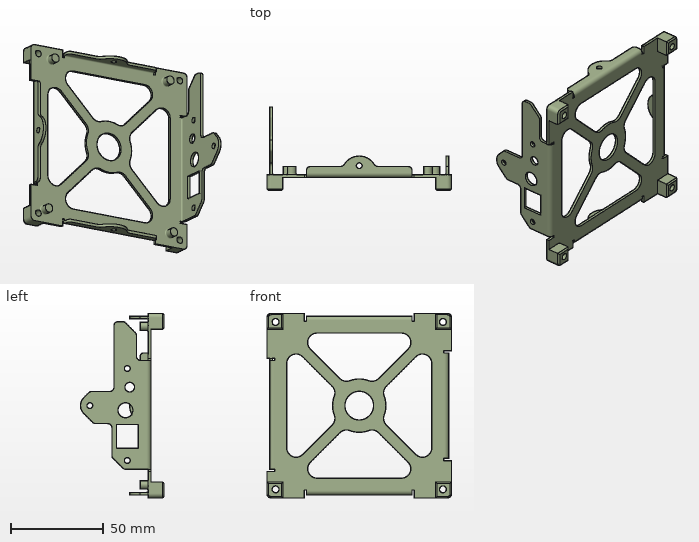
import cadquery as cq
import math

side = 100.0
half = side / 2
sheet = 1.6
corner_radius = 2.3
hub_hole_radius = 7.7
hub_radius = 14.5
spoke_width = 6.0
window_edge = 39.2
window_radius = 5.0

foot_size = 8.7
foot_height = 7.0
foot_chamfer = 0.8
foot_hole_offset = 45.3
foot_hole_dia = 3.6

flange_face = 48.5
bend_radius = 2.3
bend_inner_radius = bend_radius - sheet
relief_gap = 1.1
relief_bottom = 45.8

short_half_length = 28.6
short_height = 6.0
short_corner_radius = 2.0
ear_height = 11.7
ear_radius = 9.5
ear_root_radius = 3.0
screw_hole_dia = 3.0
ear_hole_y = 6.4

panel_bottom = -34.5
panel_shoulder = 24.5
panel_top = 45.5
panel_front_edge = 7.9
panel_upper_back = 20.2
panel_lower_back = 21.3
panel_chamfer = 6.6
panel_corner_radius = 2.2
lug_tip = 38.3
lug_radius = 6.0
lug_top = 7.7
lug_bottom = -9.8
lug_hole_y = 33.2
panel_axis_y = 12.9
upper_screw_z = 20.1
lower_screw_z = -29.7
small_port = (11.6, 10.0, 5.1)
large_port = (13.9, -2.5, 8.0)
socket_center = (panel_axis_y, -16.6)
socket_size = (11.6, 12.7)

boss_dia = 4.7
boss_top = 6.0
boss_foot_fillet = 0.6
boss_row_z = 42.9
boss_centers = [
    (-36.5, boss_row_z),
    (37.2, boss_row_z),
    (-38.8, -boss_row_z),
    (41.3, -boss_row_z),
]


def box(x_range, y_range, z_range):
    """Box between two limits on each axis."""
    sizes = [high - low for low, high in (x_range, y_range, z_range)]
    origin = (x_range[0], y_range[0], z_range[0])
    return cq.Workplane("XY", origin=origin).box(*sizes, centered=False)


def pin(x, z, diameter, y_low, y_high):
    """Cylinder along Y, centred on (x, z)."""
    return cq.Workplane("XZ", origin=(x, y_low, z)).circle(diameter / 2).extrude(y_low - y_high)


def round_corners(wall, corners, radius):
    """Round the X-directed edges of a wall that pass through the given (y, z) corners."""
    for y, z in corners:
        corner = cq.selectors.NearestToPointSelector((flange_face - sheet / 2, y, z))
        wall = wall.edges("|X").edges(corner).fillet(radius)
    return wall


def turned(body, angle):
    """Turn a body about the plate axis."""
    return body.rotate((0, 0, 0), (0, 1, 0), angle)


def wall_plane():
    """YZ plane on the inner face of a flange on the +X side."""
    return cq.Workplane("YZ", origin=(flange_face - sheet, 0, 0))


def make_window():
    """Opening between two diagonal spokes, above the hub."""
    spoke_offset = spoke_width / 2 * math.sqrt(2)
    reach = window_edge - spoke_offset
    outline = [(0, spoke_offset), (reach, window_edge), (-reach, window_edge)]
    window = cq.Workplane("XZ").polyline(outline).close().extrude(-sheet)
    window = window.cut(pin(0, 0, 2 * hub_radius, 0, sheet))
    return window.edges("|Y").fillet(window_radius)


def make_plate():
    plate = box((-half, half), (0, sheet), (-half, half)).edges("|Y").fillet(corner_radius)
    window = make_window()
    for angle in (0, 90, 180, 270):
        plate = plate.cut(turned(window, angle))
    return plate.cut(pin(0, 0, 2 * hub_hole_radius, 0, sheet))


def make_foot():
    """Foot in the +X +Z corner, flush with the plate outline."""
    inner = half - foot_size
    foot = box((inner, half), (-foot_height, sheet), (inner, half))
    foot = foot.edges("|Y and >X and >Z").fillet(corner_radius)
    return foot.faces("<Y").chamfer(foot_chamfer)


def make_relief(z_low, z_high):
    """Notch in the +X plate edge that leaves a gap at both ends of a flange."""
    return box((relief_bottom, half), (0, sheet), (z_low - relief_gap, z_high + relief_gap))


def make_bend(z_low, z_high):
    """Quarter-round sheet bend joining the +X plate edge to a flange wall."""
    start = flange_face - bend_radius
    outer_mid = bend_radius * math.sqrt(0.5)
    inner_mid = bend_inner_radius * math.sqrt(0.5)
    return (
        cq.Workplane("XY", origin=(0, 0, z_low))
        .moveTo(relief_bottom, 0)
        .lineTo(start, 0)
        .threePointArc((start + outer_mid, bend_radius - outer_mid), (flange_face, bend_radius))
        .lineTo(flange_face - sheet, bend_radius)
        .threePointArc((start + inner_mid, bend_radius - inner_mid), (start, sheet))
        .lineTo(relief_bottom, sheet)
        .close()
        .extrude(z_high - z_low)
    )


def make_short_flange():
    """Low flange on the +X side with a central rounded screw ear."""
    ear_center = ear_height - ear_radius
    ear_foot = math.sqrt(ear_radius**2 - (short_height - ear_center) ** 2)
    wall = (
        wall_plane()
        .moveTo(bend_radius, -short_half_length)
        .lineTo(short_height, -short_half_length)
        .lineTo(short_height, -ear_foot)
        .threePointArc((ear_height, 0), (short_height, ear_foot))
        .lineTo(short_height, short_half_length)
        .lineTo(bend_radius, short_half_length)
        .close()
        .extrude(sheet)
    )
    ends = [(short_height, -short_half_length), (short_height, short_half_length)]
    ear_roots = [(short_height, -ear_foot), (short_height, ear_foot)]
    wall = round_corners(wall, ends, short_corner_radius)
    wall = round_corners(wall, ear_roots, ear_root_radius)
    hole = wall_plane().center(ear_hole_y, 0).circle(screw_hole_dia / 2).extrude(sheet)
    return wall.cut(hole).union(make_bend(-short_half_length, short_half_length))


def make_panel():
    """Tall connector panel, modelled on the +X side."""
    lug_center = lug_tip - lug_radius
    tangent = lug_radius * math.sqrt(0.5)
    lug_slope_sum = lug_center + 2 * tangent
    lug_top_corner = lug_slope_sum - lug_top
    lug_bottom_corner = lug_slope_sum + lug_bottom
    bottom_corner = panel_lower_back - panel_chamfer
    top_corner = panel_front_edge + panel_chamfer
    wall = (
        wall_plane()
        .moveTo(bend_radius, panel_bottom)
        .lineTo(bottom_corner, panel_bottom)
        .lineTo(panel_lower_back, panel_bottom + panel_chamfer)
        .lineTo(panel_lower_back, lug_bottom)
        .lineTo(lug_bottom_corner, lug_bottom)
        .lineTo(lug_center + tangent, -tangent)
        .threePointArc((lug_tip, 0), (lug_center + tangent, tangent))
        .lineTo(lug_top_corner, lug_top)
        .lineTo(panel_upper_back, lug_top)
        .lineTo(panel_upper_back, panel_top)
        .lineTo(top_corner, panel_top)
        .lineTo(panel_front_edge, panel_top - panel_chamfer)
        .lineTo(panel_front_edge, panel_shoulder)
        .lineTo(bend_radius, panel_shoulder)
        .close()
        .extrude(sheet)
    )
    corners = [
        (bottom_corner, panel_bottom),
        (panel_lower_back, panel_bottom + panel_chamfer),
        (panel_lower_back, lug_bottom),
        (lug_bottom_corner, lug_bottom),
        (lug_top_corner, lug_top),
        (panel_upper_back, lug_top),
        (panel_upper_back, panel_top),
        (top_corner, panel_top),
        (panel_front_edge, panel_top - panel_chamfer),
        (panel_front_edge, panel_shoulder),
    ]
    wall = round_corners(wall, corners, panel_corner_radius)

    round_holes = [
        (panel_axis_y, upper_screw_z, screw_hole_dia),
        (panel_axis_y, lower_screw_z, screw_hole_dia),
        (lug_hole_y, 0, screw_hole_dia),
        small_port,
        large_port,
    ]
    for y, z, diameter in round_holes:
        wall = wall.cut(wall_plane().center(y, z).circle(diameter / 2).extrude(sheet))
    wall = wall.cut(wall_plane().center(*socket_center).rect(*socket_size).extrude(sheet))
    return wall.union(make_bend(panel_bottom, panel_shoulder))


result = make_plate()
foot = make_foot()
for angle in (0, 90, 180, 270):
    result = result.union(turned(foot, angle))
for x_sign in (-1, 1):
    for z_sign in (-1, 1):
        x = x_sign * foot_hole_offset
        z = z_sign * foot_hole_offset
        result = result.cut(pin(x, z, foot_hole_dia, -foot_height, sheet))

for x, z in boss_centers:
    result = result.union(pin(x, z, boss_dia, sheet, boss_top))
    base = cq.selectors.NearestToPointSelector((x, sheet, z))
    result = result.edges("%CIRCLE").edges(base).fillet(boss_foot_fillet)

short_relief = make_relief(-short_half_length, short_half_length)
short_flange = make_short_flange()
for angle in (0, 90, -90):
    result = result.cut(turned(short_relief, angle)).union(turned(short_flange, angle))

panel_relief = make_relief(panel_bottom, panel_shoulder).mirror("YZ")
panel = make_panel().mirror("YZ")
result = result.cut(panel_relief).union(panel)